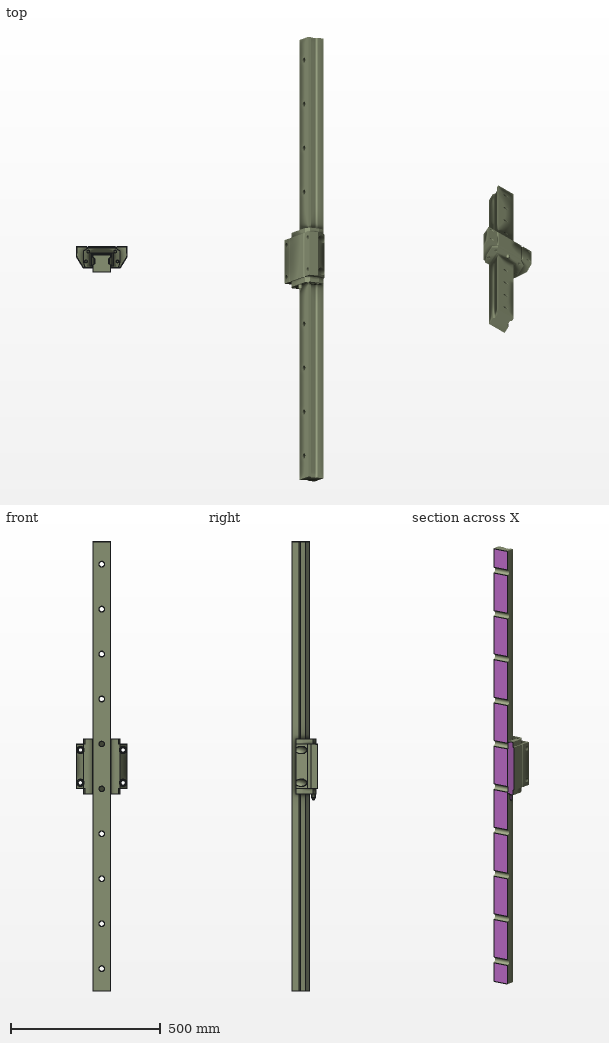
import cadquery as cq


RAIL_LENGTH = 1500.0
RAIL_HALF_WIDTH = 30.0
RAIL_HEIGHT = 58.0
RAIL_NECK_HALF_WIDTH = 24.0
GROOVE_BOTTOM = 24.0
GROOVE_TOP = 50.0
GROOVE_FLANK_HEIGHT = 5.0
RAIL_HOLE_DIAMETER = 18.0
RAIL_HOLE_COUNT = 10
RAIL_HOLE_PITCH = RAIL_LENGTH / RAIL_HOLE_COUNT

TOTAL_HEIGHT = 85.0
BLOCK_LENGTH = 148.0
BLOCK_HALF_WIDTH = 170.0 / 2
BLOCK_UNDERSIDE = 14.2
UNDERSIDE_HALF_WIDTH = 62.0
FLANGE_LOWER_EDGE = 52.0
FLANGE_STEP_HEIGHT = 63.0
FLANGE_STEP = 0.8
TOP_GROOVE_X = 48.0
TOP_GROOVE_WIDTH = 6.0
TOP_GROOVE_DEPTH = 5.0
RAIL_CLEARANCE = 0.8

BOLT_SPACING_X = 142.0
BOLT_SPACING_Z = 110.0
BOLT_HOLE_DIAMETER = 15.0
SPOTFACE_DIAMETER = 24.0

CAP_LENGTH = 18.0
CAP_UNDERSIDE_HALF_WIDTH = 55.0
CAP_HALF_WIDTH = 62.0
CAP_TOP_HALF_WIDTH = 45.0
CAP_LOWER_CORNER = 36.0
CAP_UPPER_CORNER = 70.0
CAP_TOP = 81.0
CARRIAGE_HALF_LENGTH = BLOCK_LENGTH / 2 + CAP_LENGTH

CAP_SCREW_POSITIONS = [(45.0, 69.0), (52.0, 36.0)]
CAP_SCREW_DIAMETER = 9.0
CAP_SCREW_DEPTH = 8.0
SEAL_GROOVE_HALF_WIDTH = 39.0
SEAL_GROOVE_BOTTOM = 21.0
SEAL_GROOVE_TOP = 65.0
SEAL_GROOVE_WIDTH = 5.0
SEAL_GROOVE_DEPTH = 3.0

NIPPLE_Y = 72.0
NIPPLE_LENGTH = 20.0
NIPPLE_RADIUS = 6.0
NIPPLE_TIP_LENGTH = 8.0
NIPPLE_TIP_RADIUS = 2.0


def symmetric_prism(half_outline, z_start, length):
    """Close a +X half outline with its mirror image and extrude it along +Z."""
    mirrored = [(-x, y) for x, y in reversed(half_outline)]
    section = cq.Workplane("XY", origin=(0, 0, z_start)).polyline(half_outline + mirrored).close()
    return section.extrude(length)


def y_cylinders(points, diameter, height):
    """Cylinders from Y = 0 up to Y = height at the given (X, Z) points."""
    return cq.Workplane("XZ").pushPoints(points).circle(diameter / 2).extrude(-height)


def rail_prism(gap=0.0):
    """The plain rail, with every face moved outwards by gap."""
    half_width = RAIL_HALF_WIDTH + gap
    neck_half_width = RAIL_NECK_HALF_WIDTH + gap
    outline = [
        (half_width, 0),
        (half_width, GROOVE_BOTTOM - gap),
        (neck_half_width, GROOVE_BOTTOM + GROOVE_FLANK_HEIGHT - gap),
        (neck_half_width, GROOVE_TOP - GROOVE_FLANK_HEIGHT + gap),
        (half_width, GROOVE_TOP + gap),
        (half_width, RAIL_HEIGHT + gap),
    ]
    return symmetric_prism(outline, -RAIL_LENGTH / 2, RAIL_LENGTH)


def make_rail():
    first_hole_z = (RAIL_HOLE_PITCH - RAIL_LENGTH) / 2
    holes = [(0, first_hole_z + i * RAIL_HOLE_PITCH) for i in range(RAIL_HOLE_COUNT)]
    return rail_prism().cut(y_cylinders(holes, RAIL_HOLE_DIAMETER, RAIL_HEIGHT))


def make_block():
    """Flanged block with a stepped side and two V grooves along its top."""
    upper_half_width = BLOCK_HALF_WIDTH - FLANGE_STEP
    outline = [
        (UNDERSIDE_HALF_WIDTH, BLOCK_UNDERSIDE),
        (BLOCK_HALF_WIDTH, FLANGE_LOWER_EDGE),
        (BLOCK_HALF_WIDTH, FLANGE_STEP_HEIGHT),
        (upper_half_width, FLANGE_STEP_HEIGHT),
        (upper_half_width, TOTAL_HEIGHT),
        (TOP_GROOVE_X + TOP_GROOVE_WIDTH / 2, TOTAL_HEIGHT),
        (TOP_GROOVE_X, TOTAL_HEIGHT - TOP_GROOVE_DEPTH),
        (TOP_GROOVE_X - TOP_GROOVE_WIDTH / 2, TOTAL_HEIGHT),
    ]
    block = symmetric_prism(outline, -BLOCK_LENGTH / 2, BLOCK_LENGTH)

    bolts = [
        (x_side * BOLT_SPACING_X / 2, z_side * BOLT_SPACING_Z / 2)
        for x_side in (-1, 1)
        for z_side in (-1, 1)
    ]
    block = block.cut(y_cylinders(bolts, BOLT_HOLE_DIAMETER, TOTAL_HEIGHT))
    return block.cut(y_cylinders(bolts, SPOTFACE_DIAMETER, FLANGE_LOWER_EDGE))


def seal_groove(z_start):
    """Groove around the rail opening, cut into the cap as a rectangle around an island."""
    outer = [
        (SEAL_GROOVE_HALF_WIDTH, SEAL_GROOVE_BOTTOM),
        (SEAL_GROOVE_HALF_WIDTH, SEAL_GROOVE_TOP),
    ]
    island = [
        (SEAL_GROOVE_HALF_WIDTH - SEAL_GROOVE_WIDTH, SEAL_GROOVE_BOTTOM),
        (SEAL_GROOVE_HALF_WIDTH - SEAL_GROOVE_WIDTH, SEAL_GROOVE_TOP - SEAL_GROOVE_WIDTH),
    ]
    groove = symmetric_prism(outer, z_start, SEAL_GROOVE_DEPTH)
    return groove.cut(symmetric_prism(island, z_start, SEAL_GROOVE_DEPTH))


def make_end_cap():
    """The cap on the +Z end of the block."""
    outline = [
        (CAP_UNDERSIDE_HALF_WIDTH, BLOCK_UNDERSIDE),
        (CAP_HALF_WIDTH, CAP_LOWER_CORNER),
        (CAP_HALF_WIDTH, CAP_UPPER_CORNER),
        (CAP_TOP_HALF_WIDTH, CAP_TOP),
    ]
    cap = symmetric_prism(outline, BLOCK_LENGTH / 2, CAP_LENGTH)

    screws = [(side * x, y) for side in (-1, 1) for x, y in CAP_SCREW_POSITIONS]
    screw_holes = (
        cq.Workplane("XY", origin=(0, 0, CARRIAGE_HALF_LENGTH))
        .pushPoints(screws)
        .circle(CAP_SCREW_DIAMETER / 2)
        .extrude(-CAP_SCREW_DEPTH)
    )
    return cap.cut(screw_holes).cut(seal_groove(CARRIAGE_HALF_LENGTH - SEAL_GROOVE_DEPTH))


def make_carriage():
    cap = make_end_cap()
    carriage = make_block().union(cap).union(cap.mirror("XY"))
    return carriage.cut(rail_prism(RAIL_CLEARANCE))


def make_nipple():
    """Turned nipple with a conical tip, standing on the -Z end face of the carriage."""
    base_z = -CARRIAGE_HALF_LENGTH
    tip_z = base_z - NIPPLE_LENGTH
    half_profile = [
        (0, base_z),
        (NIPPLE_RADIUS, base_z),
        (NIPPLE_RADIUS, tip_z + NIPPLE_TIP_LENGTH),
        (NIPPLE_TIP_RADIUS, tip_z),
        (0, tip_z),
    ]
    profile = cq.Workplane("XZ", origin=(0, NIPPLE_Y, 0)).polyline(half_profile).close()
    return profile.revolve(360, (0, 0, 0), (0, 1, 0))


rail = make_rail()
carriage = make_carriage()
nipple = make_nipple()

result = cq.Compound.makeCompound([rail.val(), carriage.val(), nipple.val()])